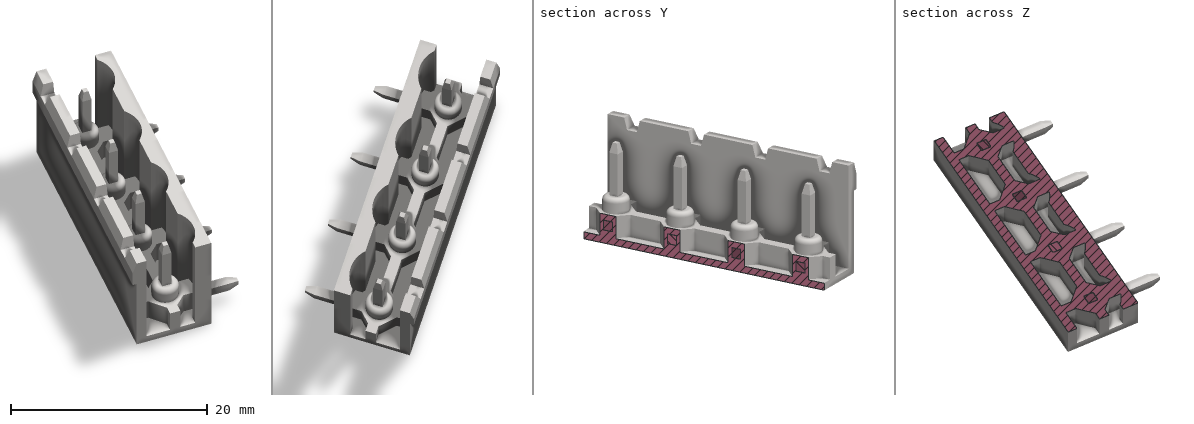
import cadquery as cq
import math


length = 28.65
height = 12.0
rear_wall_inner_y = -1.75
front_wall_inner_y = -7.05
front_wall_outer_y = -8.1

lip_front_y = -8.55
lip_bottom_z = 8.97
lip_slope_height = 1.3

notch_top_width = 1.85
notch_bottom_width = 1.18

pin_count = 4
pitch = 7.62
pin_y = -3.93
pin_x_places = [(i - (pin_count - 1) / 2) * pitch for i in range(pin_count)]

scallop_radius = 3.07

floor_z = 0.8
web_top_z = 3.2
spine_width = 1.12
hub_half_width = 2.03
rear_leg_width = 1.98
front_leg_width = 1.05
rear_shoulder_depth = hub_half_width - rear_leg_width / 2
front_shoulder_depth = 1.45

collar_diameter = 2.8
collar_top_z = 4.85
collar_fillet = 0.5

pin_width = 1.0
pin_tip_width = 0.52
pin_taper_length = 1.05
pin_top_z = 10.52
tail_z = 1.98
tail_end_y = 3.95


def make_shell():
    """Channel with a rear wall, a floor and a lipped front wall."""
    profile = [
        (0, 0),
        (0, height),
        (rear_wall_inner_y, height),
        (rear_wall_inner_y, floor_z),
        (front_wall_inner_y, floor_z),
        (front_wall_inner_y, height),
        (front_wall_outer_y, height),
        (lip_front_y, height - lip_slope_height),
        (lip_front_y, lip_bottom_z),
        (front_wall_outer_y, lip_bottom_z),
        (front_wall_outer_y, 0),
    ]
    return cq.Workplane("YZ").polyline(profile).close().extrude(length / 2, both=True)


def make_scallop(x):
    """Cutter for the rounded hollow behind one pin, kept behind the inner face of the rear wall."""
    half_chord = math.sqrt(scallop_radius**2 - (rear_wall_inner_y - pin_y) ** 2)
    return (
        cq.Workplane("XY", origin=(x, 0, floor_z))
        .moveTo(-half_chord, rear_wall_inner_y)
        .threePointArc((0, pin_y + scallop_radius), (half_chord, rear_wall_inner_y))
        .close()
        .extrude(height - floor_z)
    )


def make_notch(x):
    """Cutter for one tapered notch through the top of the front wall."""
    bottom_z = height - lip_slope_height
    outline = [
        (x - notch_top_width / 2, height),
        (x + notch_top_width / 2, height),
        (x + notch_bottom_width / 2, bottom_z),
        (x - notch_bottom_width / 2, bottom_z),
    ]
    return (
        cq.Workplane("XZ", origin=(0, front_wall_inner_y, 0))
        .polyline(outline)
        .close()
        .extrude(front_wall_inner_y - lip_front_y)
    )


def make_spine():
    """Raised web running the full length, in line with the pins."""
    return (
        cq.Workplane("XY", origin=(0, pin_y, 0))
        .rect(length, spine_width)
        .extrude(web_top_z)
    )


def make_hub(x):
    """Raised web around one pin: a wide leg runs into the rear wall, a narrow one meets the front wall."""
    spine_rear_y = pin_y + spine_width / 2
    spine_front_y = pin_y - spine_width / 2
    right_side = [
        (rear_leg_width / 2, 0),
        (rear_leg_width / 2, spine_rear_y + rear_shoulder_depth),
        (hub_half_width, spine_rear_y),
        (hub_half_width, spine_front_y),
        (front_leg_width / 2, spine_front_y - front_shoulder_depth),
        (front_leg_width / 2, front_wall_inner_y),
    ]
    left_side = [(-px, py) for px, py in reversed(right_side)]
    return (
        cq.Workplane("XY", origin=(x, 0, 0))
        .polyline(right_side + left_side)
        .close()
        .extrude(web_top_z)
    )


def make_collar(x):
    """Round collar with a rounded top edge, standing on the web."""
    return (
        cq.Workplane("XY", origin=(x, pin_y, web_top_z))
        .circle(collar_diameter / 2)
        .extrude(collar_top_z - web_top_z)
        .faces(">Z")
        .edges()
        .fillet(collar_fillet)
    )


def make_leg(plane, full_length):
    """Square bar along the plane's normal, ending in a tapered tip."""
    shank_length = full_length - pin_taper_length
    shank = cq.Workplane(plane).rect(pin_width, pin_width).extrude(shank_length)
    tip = (
        cq.Workplane(plane)
        .workplane(offset=shank_length)
        .rect(pin_width, pin_width)
        .workplane(offset=pin_taper_length)
        .rect(pin_tip_width, pin_tip_width)
        .loft(ruled=True)
    )
    return shank.union(tip)


def make_pin(x):
    """Right-angle pin: an upright contact and a tail leaving through the rear wall."""
    heel_y = pin_y - pin_width / 2
    heel_z = tail_z - pin_width / 2
    upright_plane = cq.Plane(origin=(x, pin_y, heel_z), xDir=(1, 0, 0), normal=(0, 0, 1))
    tail_plane = cq.Plane(origin=(x, heel_y, tail_z), xDir=(1, 0, 0), normal=(0, 1, 0))
    upright = make_leg(upright_plane, pin_top_z - heel_z)
    tail = make_leg(tail_plane, tail_end_y - heel_y)
    return upright.union(tail)


def make_housing(pins):
    """Housing with its scallops, notches, webs and collars, and a matching hole for every pin."""
    body = make_shell()
    for x in pin_x_places:
        body = body.cut(make_scallop(x)).cut(make_notch(x))
    body = body.union(make_spine())
    for x in pin_x_places:
        body = body.union(make_hub(x)).union(make_collar(x))
    for pin in pins:
        body = body.cut(pin)
    return body


pins = [make_pin(x) for x in pin_x_places]
housing = make_housing(pins)

result = cq.Compound.makeCompound([housing.val(), *[pin.val() for pin in pins]])